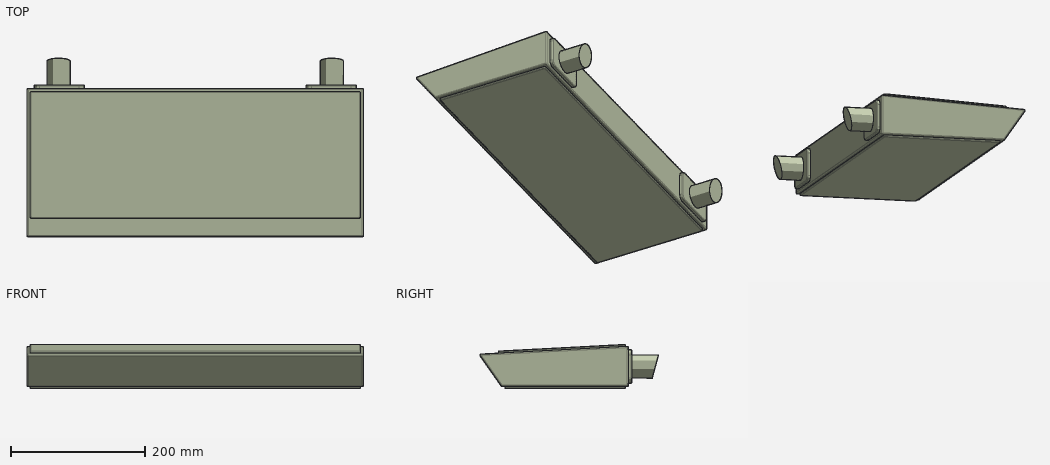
import cadquery as cq
import math

length = 501.6
total_depth = 266.33
total_height = 65.69

top_slope = math.radians(3.0)
front_lean = math.radians(35.0)
housing_edge_radius = 2.0

panel_thickness = 3.0
panel_inset = 4.5
panel_edge_radius = 1.5
panel_corner_radius = 3.0
top_panel_depth = 189.5
bottom_panel_front_inset = 5.0

tube_reach = 45.0
tube_spacing = 407.0
flange_spacing = 405.0
mount_height = 32.8
tube_diameter = 35.0
tube_cut_angle = math.radians(15.0)
flange_width = 75.0
flange_height = 50.0
flange_thickness = 5.0
flange_corner_radius = 8.0
flange_edge_radius = 1.5

tip_half_angle = (math.pi / 2 - front_lean + top_slope) / 2
tip_center_setback = math.cos(tip_half_angle - top_slope) / math.sin(tip_half_angle)
tip_rounding_loss = housing_edge_radius * (tip_center_setback - 1)
front_y = tube_reach - total_depth - tip_rounding_loss

housing_bottom = panel_thickness
peak_drop = (panel_inset + panel_edge_radius) * math.tan(top_slope)
housing_rear_top = total_height - panel_thickness / math.cos(top_slope) + peak_drop
housing_front_top = housing_rear_top + front_y * math.tan(top_slope)
housing_front_bottom_y = front_y + (housing_front_top - housing_bottom) * math.tan(front_lean)


def raised_panel(plane, depth):
    """Rounded plate rising from a plane, reaching from the plane's origin towards its local -Y."""
    return (
        cq.Workplane(plane)
        .center(0, -depth / 2)
        .rect(length - 2 * panel_inset, depth)
        .extrude(panel_thickness)
        .edges(cq.selectors.ParallelDirSelector(plane.zDir))
        .fillet(panel_corner_radius)
        .faces(cq.selectors.DirectionMinMaxSelector(plane.zDir, True))
        .edges()
        .fillet(panel_edge_radius)
    )


def build_housing():
    wedge = (
        cq.Workplane("YZ")
        .polyline([
            (0, housing_bottom),
            (0, housing_rear_top),
            (front_y, housing_front_top),
            (housing_front_bottom_y, housing_bottom),
        ])
        .close()
        .extrude(length / 2, both=True)
        .edges()
        .fillet(housing_edge_radius)
    )
    top_plane = cq.Plane(
        origin=(0, -panel_inset, housing_rear_top - panel_inset * math.tan(top_slope)),
        xDir=(1, 0, 0),
        normal=(0, -math.sin(top_slope), math.cos(top_slope)),
    )
    bottom_depth = -housing_front_bottom_y - panel_inset - bottom_panel_front_inset
    bottom_plane = cq.Plane(
        origin=(0, -panel_inset - bottom_depth, housing_bottom),
        xDir=(1, 0, 0),
        normal=(0, 0, -1),
    )
    return (
        wedge
        .union(raised_panel(top_plane, top_panel_depth))
        .union(raised_panel(bottom_plane, bottom_depth))
    )


def build_mount(side):
    """Mount on the -X (side = -1) or +X (side = 1) half of the rear face."""
    tube_x = side * tube_spacing / 2
    flange_x = side * flange_spacing / 2
    flange = (
        cq.Workplane("XZ", origin=(flange_x, 0, mount_height))
        .rect(flange_width, flange_height)
        .extrude(-flange_thickness)
        .edges("|Y")
        .fillet(flange_corner_radius)
        .faces(">Y")
        .edges()
        .fillet(flange_edge_radius)
    )
    tube = (
        cq.Workplane("XZ", origin=(tube_x, 0, mount_height))
        .circle(tube_diameter / 2)
        .extrude(-tube_reach)
    )
    tube_top = mount_height + tube_diameter / 2
    tube_bottom = tube_top - tube_diameter
    cut_bottom_y = tube_reach - tube_diameter * math.tan(tube_cut_angle)
    offcut = (
        cq.Workplane("YZ", origin=(tube_x, 0, 0))
        .polyline([(tube_reach, tube_top), (cut_bottom_y, tube_bottom), (tube_reach, tube_bottom)])
        .close()
        .extrude(tube_diameter, both=True)
    )
    return flange.union(tube.cut(offcut))


housing = build_housing()
mounts = [build_mount(side) for side in (-1, 1)]

result = cq.Compound.makeCompound([housing.val(), *[mount.val() for mount in mounts]])